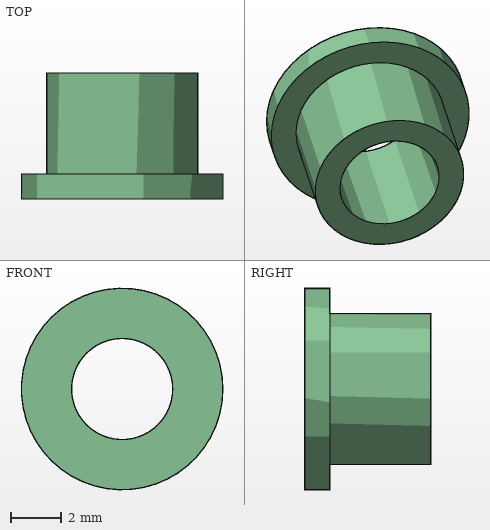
import cadquery as cq

flange_diameter = 8.0
flange_thickness = 1.0
sleeve_diameter = 6.0
bore_diameter = 4.0
overall_length = 5.0


def cylinder_along_y(diameter, length):
    """Cylinder running from the flange face (Y = 0) toward +Y."""
    return cq.Workplane("XZ").circle(diameter / 2).extrude(-length)


flange = cylinder_along_y(flange_diameter, flange_thickness)
sleeve = cylinder_along_y(sleeve_diameter, overall_length)
bore = cylinder_along_y(bore_diameter, overall_length)

result = flange.union(sleeve).cut(bore)